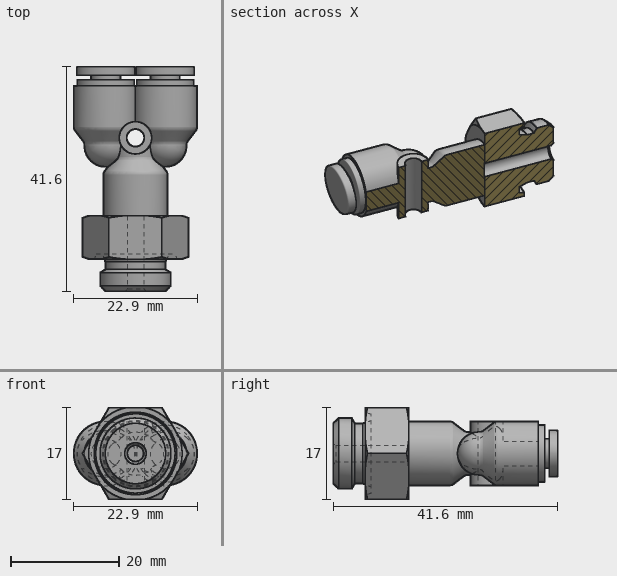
import cadquery as cq
import math


TOTAL_LENGTH = 41.6

THREAD_DIA = 13.15
NECK_DIA = 11.2
THREAD_TIP_LENGTH = 1.05
THREAD_END_Y = 3.45
NECK_START_Y = 4.05
HEX_FLATS = 17.0
HEX_START_Y = 5.95
HEX_END_Y = 14.0
HEX_CHAMFER_DIA = 17.3
HEX_CHAMFER_ANGLE = 20.0
RECESS_RIM_DIA = 15.3
RECESS_FLOOR_DIA = 14.7
RECESS_DEPTH = 1.0
FOOT_START_Y = 5.45
FOOT_DIA = 12.27
BORE_DIA = 3.0
BORE_CHAMFER = 0.5

TUBE_DIA = 11.9
TUBE_LENGTH = 7.95
TAPER_LENGTH = 2.6
TAPER_NECK_DIA = 8.0
TAPER_FILLET = 1.0
LEG_OFFSET = 5.5
LEG_END_Y = 38.02
LEG_NECK_LENGTH = 0.5
BOSS_Y = 28.4
BOSS_DIA = 6.0
BOSS_HOLE_DIA = 3.2

COLLAR_DIA = 10.6
COLLAR_LENGTH = 1.15
COLLAR_FILLET = 0.12
SLEEVE_STEM_DIA = 5.5
SLEEVE_HEAD_WIDTH = 10.8
SLEEVE_HEAD_HEIGHT = 8.65
SLEEVE_HEAD_LENGTH = 1.62
SLEEVE_HEAD_FILLET = 0.25

RECESS_FLOOR_Y = HEX_START_Y + RECESS_DEPTH
COLLAR_END_Y = LEG_END_Y + COLLAR_LENGTH
SLEEVE_HEAD_Y = TOTAL_LENGTH - SLEEVE_HEAD_LENGTH
LEG_SIDES = (-1, 1)


def section_at(y, x=0.0):
    """Workplane across the Y axis at height y, extruding toward +Y, with its local x along X."""
    return cq.Workplane(cq.Plane(origin=(x, y, 0), xDir=(1, 0, 0), normal=(0, 1, 0)))


def revolve_about_y(outline):
    return outline.close().revolve(360, (0, 0, 0), (0, 1, 0))


def chamfered_hexagon():
    corner_dia = HEX_FLATS / math.cos(math.radians(30))
    chamfer_width = (corner_dia - HEX_CHAMFER_DIA) / 2
    chamfer_depth = chamfer_width * math.tan(math.radians(HEX_CHAMFER_ANGLE))
    prism = section_at(HEX_START_Y).polygon(6, corner_dia).extrude(HEX_END_Y - HEX_START_Y)
    envelope = revolve_about_y(
        cq.Workplane("XY")
        .moveTo(0, HEX_START_Y)
        .lineTo(HEX_CHAMFER_DIA / 2, HEX_START_Y)
        .lineTo(corner_dia / 2, HEX_START_Y + chamfer_depth)
        .lineTo(corner_dia / 2, HEX_END_Y - chamfer_depth)
        .lineTo(HEX_CHAMFER_DIA / 2, HEX_END_Y)
        .lineTo(0, HEX_END_Y)
    )
    return prism.intersect(envelope)


def seal_recess():
    """Flared recess in the hexagon face; the shank is added through its middle."""
    return revolve_about_y(
        cq.Workplane("XY")
        .moveTo(0, HEX_START_Y)
        .lineTo(RECESS_RIM_DIA / 2, HEX_START_Y)
        .lineTo(RECESS_FLOOR_DIA / 2, RECESS_FLOOR_Y)
        .lineTo(0, RECESS_FLOOR_Y)
    )


def threaded_shank():
    """Thread, relief neck and the neck's conical foot on the recess floor."""
    return revolve_about_y(
        cq.Workplane("XY")
        .lineTo(NECK_DIA / 2, 0)
        .lineTo(THREAD_DIA / 2, THREAD_TIP_LENGTH)
        .lineTo(THREAD_DIA / 2, THREAD_END_Y)
        .lineTo(NECK_DIA / 2, NECK_START_Y)
        .lineTo(NECK_DIA / 2, FOOT_START_Y)
        .lineTo(FOOT_DIA / 2, RECESS_FLOOR_Y)
        .lineTo(0, RECESS_FLOOR_Y)
    )


def nut_bore():
    return revolve_about_y(
        cq.Workplane("XY")
        .lineTo(BORE_DIA / 2 + BORE_CHAMFER, 0)
        .lineTo(BORE_DIA / 2, BORE_CHAMFER)
        .lineTo(BORE_DIA / 2, HEX_END_Y)
        .lineTo(0, HEX_END_Y)
    )


def make_nut():
    return chamfered_hexagon().cut(seal_recess()).union(threaded_shank()).cut(nut_bore())


def tapered_tube(neck_length):
    """Tube from Y = 0 toward +Y that tapers, with rounded transitions, to a straight neck."""
    taper_end = TUBE_LENGTH + TAPER_LENGTH
    tube = revolve_about_y(
        cq.Workplane("XY")
        .lineTo(TUBE_DIA / 2, 0)
        .lineTo(TUBE_DIA / 2, TUBE_LENGTH)
        .lineTo(TAPER_NECK_DIA / 2, taper_end)
        .lineTo(TAPER_NECK_DIA / 2, taper_end + neck_length)
        .lineTo(0, taper_end + neck_length)
    )
    margin = 0.05
    for edge_y in (TUBE_LENGTH, taper_end):
        edge_slab = cq.selectors.BoxSelector(
            (-TUBE_DIA, edge_y - margin, -TUBE_DIA),
            (TUBE_DIA, edge_y + margin, TUBE_DIA),
        )
        tube = tube.edges(edge_slab).fillet(TAPER_FILLET)
    return tube


def body_leg(x):
    """Leg hanging from its open end toward the threaded end, closed by a ball."""
    ball_y = TUBE_LENGTH + TAPER_LENGTH + LEG_NECK_LENGTH
    ball = cq.Workplane("XY").sphere(TAPER_NECK_DIA / 2).translate((0, ball_y, 0))
    leg = tapered_tube(LEG_NECK_LENGTH).union(ball)
    return leg.rotate((0, 0, 0), (0, 0, 1), 180).translate((x, LEG_END_Y, 0))


def make_y_body():
    stem_neck_length = BOSS_Y - HEX_END_Y - TUBE_LENGTH - TAPER_LENGTH
    body = tapered_tube(stem_neck_length).translate((0, HEX_END_Y, 0))
    for side in LEG_SIDES:
        body = body.union(body_leg(side * LEG_OFFSET))
    boss_plane = cq.Workplane("XY").center(0, BOSS_Y)
    boss = boss_plane.circle(BOSS_DIA / 2).extrude(TUBE_DIA / 2, both=True)
    hole = boss_plane.circle(BOSS_HOLE_DIA / 2).extrude(TUBE_DIA / 2, both=True)
    return body.union(boss).cut(hole)


def make_collar(x):
    collar = section_at(LEG_END_Y, x).circle(COLLAR_DIA / 2).extrude(COLLAR_LENGTH)
    return collar.faces(">Y").edges().fillet(COLLAR_FILLET)


def make_release_sleeve(x):
    """Oval push head on a round stem that stands on the collar."""
    head = (
        section_at(SLEEVE_HEAD_Y, x)
        .ellipse(SLEEVE_HEAD_WIDTH / 2, SLEEVE_HEAD_HEIGHT / 2)
        .extrude(SLEEVE_HEAD_LENGTH)
        .faces(">Y").edges().fillet(SLEEVE_HEAD_FILLET)
    )
    stem = section_at(COLLAR_END_Y, x).circle(SLEEVE_STEM_DIA / 2).extrude(SLEEVE_HEAD_Y - COLLAR_END_Y)
    return head.union(stem)


nut = make_nut()
y_body = make_y_body()
collars = [make_collar(side * LEG_OFFSET) for side in LEG_SIDES]
release_sleeves = [make_release_sleeve(side * LEG_OFFSET) for side in LEG_SIDES]

result = cq.Compound.makeCompound(
    [nut.val(), y_body.val()]
    + [collar.val() for collar in collars]
    + [sleeve.val() for sleeve in release_sleeves]
)